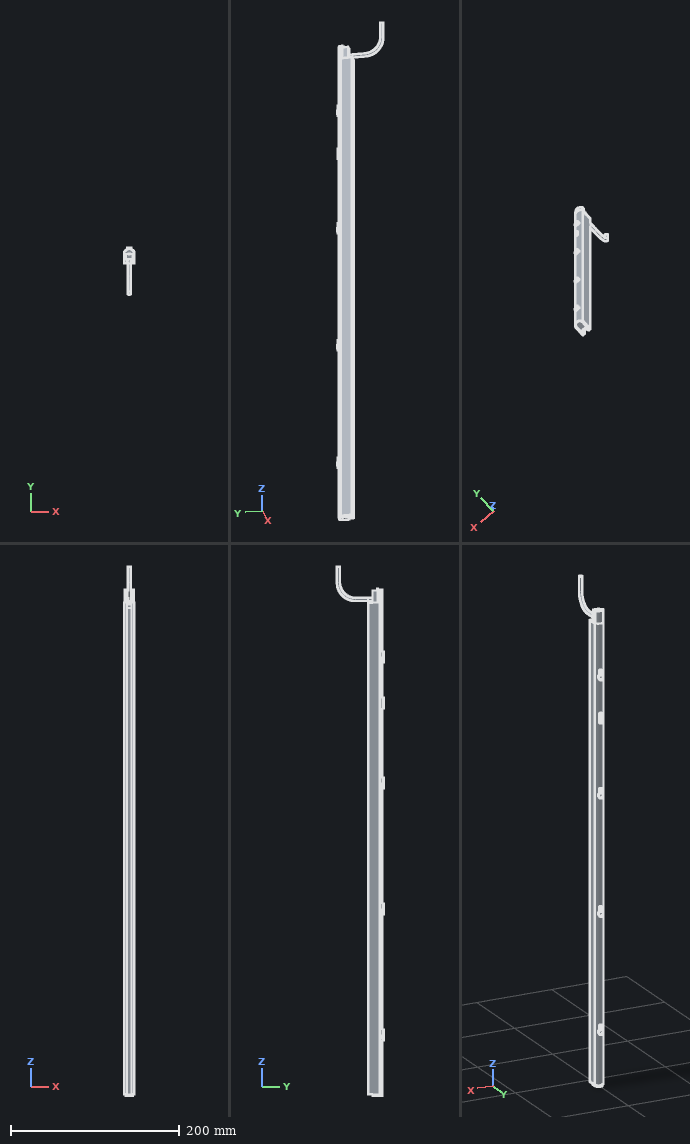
import cadquery as cq
import math

overall_depth = 56.0

width = 12.0
depth = 17.0
back_shoulder = 4.0
crown_rise = 2.85
crown_inset = 0.3
profile_bottom = 2.0
profile_top = 587.5

slot_width = 5.5
slot_depth = 3.0
plug_bottom = 581.0
plug_height = 4.0
plug_recess = 0.5

cap_depth = 12.0
cap_shoulder = 5.5
cap_neck_width = 8.0
cap_inset = 0.2
cap_top = 603.0
neck_top = 602.0
foot_width = 9.5
peg_diameter = 1.0
peg_height = 1.0

button_width = 3.0
button_height = 13.0
button_rise = 1.6
button_embed = 4.0
stud_diameter = 5.5
stud_drop = 2.5
first_button_z = 72.5
button_pitch = 150.0
row_button_count = 4
extra_button_z = 467.5

cable_diameter = 4.1
cable_z = 591.0
cable_top = 630.0
bend_radius = 20.0
cable_reach = overall_depth - button_rise - cable_diameter / 2


def rounded_back_outline(outline_width, outline_depth, z):
    """Rectangle with an arched back, at height z."""
    half = outline_width / 2
    return (
        cq.Workplane("XY", origin=(0, 0, z))
        .moveTo(-half, -outline_depth)
        .lineTo(half, -outline_depth)
        .lineTo(half, -back_shoulder)
        .lineTo(half - crown_inset, -crown_rise)
        .threePointArc((0, 0), (crown_inset - half, -crown_rise))
        .lineTo(-half, -back_shoulder)
        .close()
    )


def block(x_size, y_front, y_back, z_bottom, z_top):
    """Box centred on X between the given Y and Z limits."""
    return (
        cq.Workplane("XY", origin=(0, y_front, z_bottom))
        .box(x_size, y_back - y_front, z_top - z_bottom, centered=(True, False, False))
    )


def make_profile():
    profile = rounded_back_outline(width, depth, profile_bottom).extrude(profile_top - profile_bottom)
    slot_floor = slot_depth - depth
    plug_front = plug_recess - depth
    slot = block(slot_width, -depth, slot_floor, profile_bottom, profile_top)
    plug = block(slot_width, plug_front, slot_floor, plug_bottom, plug_bottom + plug_height)
    return profile.cut(slot).union(plug)


def make_top_cap():
    rear_width = width - 2 * cap_inset
    rear = rounded_back_outline(rear_width, cap_shoulder, profile_top).extrude(cap_top - profile_top)
    neck = block(cap_neck_width, -cap_depth, -cap_shoulder, profile_top, neck_top)
    peg = (
        cq.Workplane("XY", origin=(0, -cap_shoulder, cap_top))
        .circle(peg_diameter / 2)
        .extrude(peg_height)
    )
    cable_stub = (
        cq.Workplane("XZ", origin=(0, -cap_depth, cable_z))
        .circle(cable_diameter / 2)
        .extrude(depth - cap_depth)
    )
    return rear.union(neck).union(peg).union(cable_stub)


def make_foot():
    return rounded_back_outline(foot_width, cap_depth, 0).extrude(profile_bottom)


def make_button(z):
    return (
        cq.Workplane("XZ", origin=(0, button_rise, z))
        .slot2D(button_height, button_width, 90)
        .extrude(button_rise + button_embed)
    )


def make_stud(z):
    return (
        cq.Workplane("XZ", origin=(0, button_rise, z - stud_drop))
        .circle(stud_diameter / 2)
        .extrude(button_rise + button_embed)
    )


def make_housing():
    housing = make_profile().union(make_top_cap()).union(make_foot())
    for index in range(row_button_count):
        z = first_button_z + index * button_pitch
        housing = housing.union(make_button(z)).union(make_stud(z))
    return housing.union(make_button(extra_button_z))


def make_cable():
    bend_start = bend_radius - cable_reach
    diagonal = bend_radius / math.sqrt(2)
    path = (
        cq.Workplane("YZ")
        .moveTo(-depth, cable_z)
        .lineTo(bend_start, cable_z)
        .threePointArc(
            (bend_start - diagonal, cable_z + bend_radius - diagonal),
            (-cable_reach, cable_z + bend_radius),
        )
        .lineTo(-cable_reach, cable_top)
    )
    return cq.Workplane("XZ", origin=(0, -depth, cable_z)).circle(cable_diameter / 2).sweep(path)


housing = make_housing()
cable = make_cable()
result = cq.Compound.makeCompound([housing.val(), cable.val()])